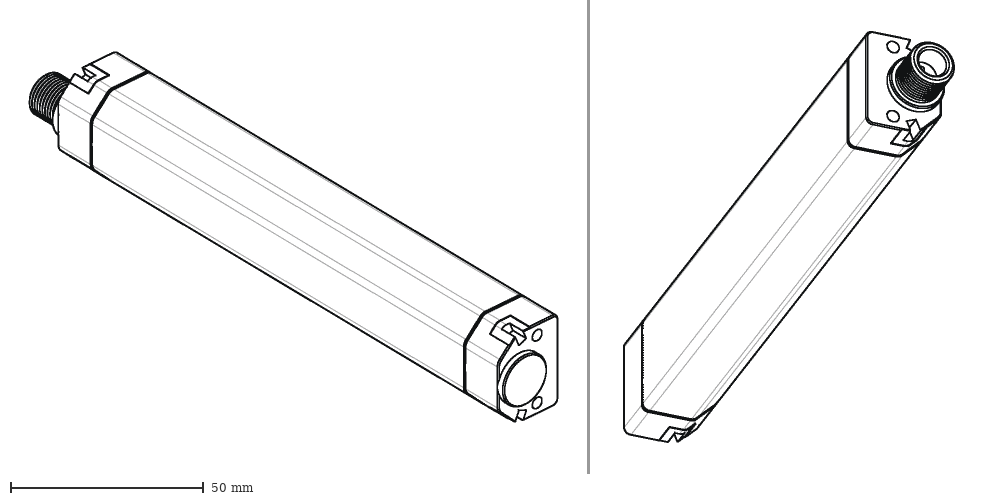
import cadquery as cq
import math

TOTAL_LENGTH = 186.2
BODY_DEPTH = 21.0
BODY_HEIGHT = 28.0
BODY_START = 13.2
BODY_END = 184.1
BODY_LENGTH = BODY_END - BODY_START
BODY_MIDDLE = (BODY_START + BODY_END) / 2
HALF_HEIGHT = BODY_HEIGHT / 2

FRONT_CHAMFER = 6.5
BACK_RADIUS = 1.9
UPPER_RADIUS = 2.5
FRONT_RADIUS = 2.8
END_CHAMFER = 0.4

SEAM_INSET = 12.8
SEAM_WIDTH = 0.5
SEAM_DEPTH = 0.2

SCREW_DIAMETER = 3.4
SCREW_DEPTH = 5.5
SCREW_Y = 13.5
SCREW_Z = 10.5

CORNER_CUT_Y = 7.0
RECESS_LENGTH = 7.6
RECESS_DEPTH = 0.2
RECESS_REACH = 4.1
SLOT_LENGTH = 5.2
SLOT_WIDTH = 2.8
SLOT_DEPTH = 3.7
CORNER_TILT = 22.5

AXIS_Y = 7.6
FLANGE_RADIUS = 7.6
FLANGE_START = 11.0
FLANGE_CHAMFER = 0.4
THREAD_RADIUS = 6.1
THREAD_CHAMFER = 0.7
THREAD_PITCH = 1.0
THREAD_DEPTH = 0.4
THREAD_COUNT = 9
BORE_RADIUS = 4.0
BORE_CHAMFER = 0.5
BORE_DEPTH = 7.5
KEY_RADIUS = 0.7
KEY_ANGLE = -40.0


def cylinder(start, length, radius, y=AXIS_Y, z=0):
    """Solid cylinder along X."""
    return cq.Workplane("YZ", origin=(start, y, z)).circle(radius).extrude(length)


def bar(start, length, inset=0.0):
    """Piece of the bar with rounded lengthwise edges, its section shrunk by the inset."""
    front = inset
    back = BODY_DEPTH - inset
    top = HALF_HEIGHT - inset
    chamfer = FRONT_CHAMFER - inset * (2 - math.sqrt(2))
    piece = (
        cq.Workplane("YZ", origin=(start, 0, 0))
        .moveTo(back, top)
        .lineTo(front + chamfer, top)
        .lineTo(front, top - chamfer)
        .lineTo(front, chamfer - top)
        .lineTo(front + chamfer, -top)
        .lineTo(back, -top)
        .close()
        .extrude(length)
    )
    middle = start + length / 2
    rounded_corners = [
        (back, top, BACK_RADIUS),
        (front + chamfer, top, UPPER_RADIUS),
        (front, top - chamfer, FRONT_RADIUS),
    ]
    for y, z, radius in rounded_corners:
        for side in (1, -1):
            corner = cq.selectors.NearestToPointSelector((middle, y, side * z))
            piece = piece.edges("|X").edges(corner).fillet(radius - inset)
    return piece


def seam_groove(start):
    """Thin frame that cuts a shallow groove all around the bar."""
    return bar(start, SEAM_WIDTH).cut(bar(start, SEAM_WIDTH, SEAM_DEPTH))


def corner_recess():
    """Cutter for the layer just under the skin around the upper left sloped corner."""
    skin = bar(BODY_START, RECESS_LENGTH).cut(bar(BODY_START, RECESS_LENGTH, RECESS_DEPTH))
    reach = cylinder(BODY_START, RECESS_LENGTH, RECESS_REACH, CORNER_CUT_Y, HALF_HEIGHT)
    return skin.intersect(reach)


def corner_slot():
    """Cutter for the slot that enters the upper left corner square to its rounding."""
    slot = cq.Workplane("XY").box(SLOT_LENGTH, SLOT_WIDTH, 2 * SLOT_DEPTH)
    slot = slot.rotate((0, 0, 0), (1, 0, 0), CORNER_TILT)
    return slot.translate((BODY_START + SLOT_LENGTH / 2, CORNER_CUT_Y, HALF_HEIGHT))


def end_cap_cuts():
    """Cutters for the upper half of the left end cap; the groove goes all around."""
    screw_hole = cylinder(BODY_START, SCREW_DEPTH, SCREW_DIAMETER / 2, SCREW_Y, SCREW_Z)
    return [seam_groove(BODY_START + SEAM_INSET), screw_hole, corner_recess(), corner_slot()]


def body():
    """Bar with both end caps, mirrored left to right and top to bottom."""
    shape = bar(BODY_START, BODY_LENGTH).faces("<X or >X").chamfer(END_CHAMFER)
    for cut in end_cap_cuts():
        for left_or_right in (cut, cut.mirror("YZ", (BODY_MIDDLE, 0, 0))):
            shape = shape.cut(left_or_right).cut(left_or_right.mirror("XY"))
    return shape


def flanges():
    """Round core that stands out of both end faces."""
    core = cylinder(FLANGE_START, TOTAL_LENGTH - FLANGE_START, FLANGE_RADIUS)
    return core.faces("<X or >X").chamfer(FLANGE_CHAMFER)


def thread_groove(start):
    """V-shaped ring around the connector axis."""
    root = THREAD_RADIUS - THREAD_DEPTH
    return (
        cq.Workplane("XY", origin=(0, AXIS_Y, 0))
        .moveTo(start, THREAD_RADIUS)
        .lineTo(start + THREAD_PITCH / 2, root)
        .lineTo(start + THREAD_PITCH, THREAD_RADIUS)
        .close()
        .revolve(360, (0, 0, 0), (1, 0, 0))
    )


def connector():
    """Sleeve with ring grooves that stand in for the thread."""
    sleeve = cylinder(0, FLANGE_START, THREAD_RADIUS).faces("<X").chamfer(THREAD_CHAMFER)
    for index in range(THREAD_COUNT):
        sleeve = sleeve.cut(thread_groove(THREAD_CHAMFER + index * THREAD_PITCH))
    return sleeve


def connector_bore():
    """Cutter for the bore, with the key rib left standing."""
    bore = (
        cq.Workplane("XY", origin=(0, AXIS_Y, 0))
        .lineTo(0, BORE_RADIUS + BORE_CHAMFER)
        .lineTo(BORE_CHAMFER, BORE_RADIUS)
        .lineTo(BORE_DEPTH, BORE_RADIUS)
        .lineTo(BORE_DEPTH, 0)
        .close()
        .revolve(360, (0, 0, 0), (1, 0, 0))
    )
    angle = math.radians(KEY_ANGLE)
    key_y = AXIS_Y + BORE_RADIUS * math.cos(angle)
    key = cylinder(BORE_CHAMFER, BORE_DEPTH, KEY_RADIUS, key_y, BORE_RADIUS * math.sin(angle))
    return bore.cut(key)


result = body().union(flanges()).union(connector()).cut(connector_bore())